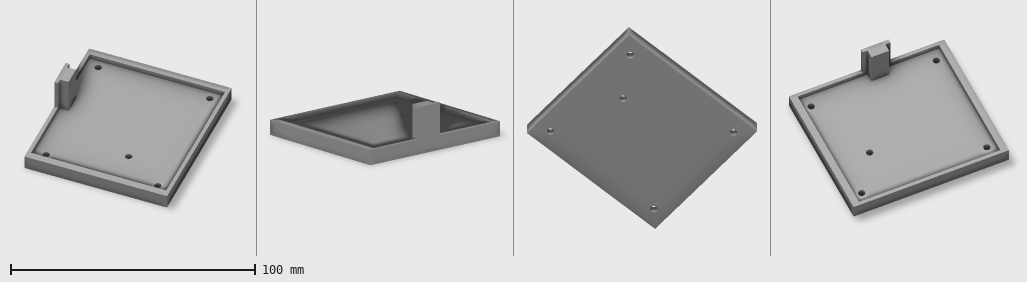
import cadquery as cq

length_x = 63.0
length_y = 70.0
base_thickness = 4.0
rim_top = 6.4
total_height = 20.0

side_wall = 1.6
end_wall = 3.15

tab_center_y = 3.65
tab_width = 12.45
rib_width = 7.9
rib_depth = 5.4

hole_diameter = 3.0
corner_hole_spacing_x = 49.3
corner_hole_spacing_y = 56.4
extra_hole_position = (7.0, -16.45)

left_x = -length_x / 2


def upright(depth, width, bottom):
    """Block flush with the -X side, rising from bottom to the full height."""
    return (
        cq.Workplane("XY")
        .box(depth, width, total_height - bottom, centered=(False, True, False))
        .translate((left_x, tab_center_y, bottom))
    )


tray = cq.Workplane("XY").box(length_x, length_y, rim_top, centered=(True, True, False))
recess = (
    cq.Workplane("XY")
    .workplane(offset=base_thickness)
    .rect(length_x - 2 * side_wall, length_y - 2 * end_wall)
    .extrude(rim_top - base_thickness)
)
tray = tray.cut(recess)

tab = upright(side_wall, tab_width, base_thickness)
rib = upright(rib_depth, rib_width, base_thickness)

holes = (
    cq.Workplane("XY")
    .rect(corner_hole_spacing_x, corner_hole_spacing_y, forConstruction=True)
    .vertices()
    .circle(hole_diameter / 2)
    .extrude(base_thickness)
)
extra_hole = (
    cq.Workplane("XY")
    .center(*extra_hole_position)
    .circle(hole_diameter / 2)
    .extrude(base_thickness)
)

result = tray.union(tab).union(rib).cut(holes).cut(extra_hole)